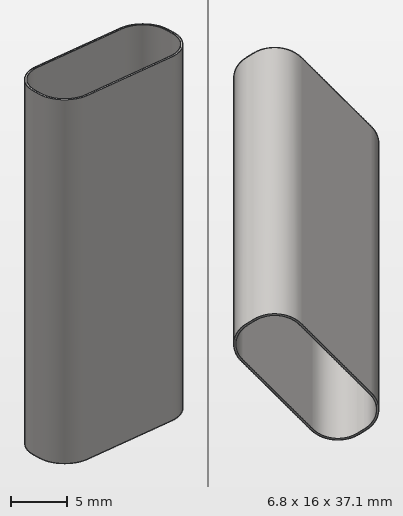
import cadquery as cq

height = 37.08
depth = 16.02
width = 6.8
corner_radius = 3.0
wall = 0.2


def rounded_bar(size_x, size_y, radius):
    """Full-height bar along Z with its four long edges rounded."""
    return cq.Workplane("XY").box(size_x, size_y, height).edges("|Z").fillet(radius)


outside = rounded_bar(width, depth, corner_radius)
bore = rounded_bar(width - 2 * wall, depth - 2 * wall, corner_radius - wall)

result = outside.cut(bore)